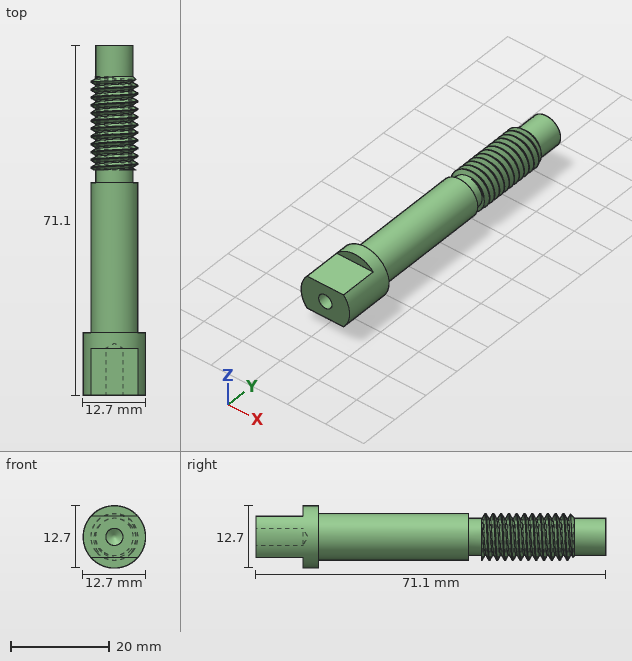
import cadquery as cq
import math

total_length = 71.1
head_length = 12.7
flat_length = 9.5
shank_length = 30.5
neck_length = 2.55
tip_length = 6.3
thread_length = total_length - head_length - shank_length - neck_length - tip_length

head_diameter = 12.7
flat_thickness = 8.4
shank_diameter = 9.5
core_diameter = 7.6

pitch = 1.585
flank_angle = 30.0
crest_width = pitch / 8
root_overlap = 0.1
crest_clearance = 0.35
start_angle = 75.0

hole_diameter = 3.5
hole_depth = 9.5
drill_point_angle = 118.0

core_radius = core_diameter / 2
shank_radius = shank_diameter / 2
hole_radius = hole_diameter / 2
thread_depth = shank_radius - core_radius
neck_start = head_length + shank_length
thread_start = neck_start + neck_length


def cylinder(diameter, start, length):
    """Solid cylinder on the Y axis, running toward +Y from start."""
    face = cq.Workplane("XZ", origin=(0, start, 0))
    return face.circle(diameter / 2).extrude(-length)


def flatted_head():
    """Round head with two parallel flats, leaving a full collar at the shank."""
    head = cylinder(head_diameter, 0, head_length)
    flats = cq.Workplane("XY").box(head_diameter, flat_length, flat_thickness)
    flats = flats.translate((0, flat_length / 2, 0))
    collar = cylinder(head_diameter, flat_length, head_length - flat_length)
    return head.intersect(flats.union(collar))


def thread_ridge():
    """Helical ridge, cut square at the neck and chamfered at the tip end."""
    helix_length = thread_length + 2 * pitch
    inner_radius = core_radius - root_overlap
    crest_half = crest_width / 2
    root_half = crest_half + (thread_depth + root_overlap) * math.tan(math.radians(flank_angle))
    helix = cq.Wire.makeHelix(pitch, helix_length, inner_radius)
    section = cq.Workplane("XZ").polyline([
        (inner_radius, -root_half),
        (shank_radius, -crest_half),
        (shank_radius, crest_half),
        (inner_radius, root_half),
    ]).close()
    ridge = section.sweep(helix, isFrenet=True)
    ridge = ridge.rotate((0, 0, 0), (0, 0, 1), start_angle)
    ridge = ridge.rotate((0, 0, 0), (1, 0, 0), -90)
    ridge = ridge.translate((0, thread_start - pitch, 0))
    envelope = cylinder(shank_diameter + 2 * crest_clearance, thread_start, thread_length)
    envelope = envelope.faces(">Y").chamfer(thread_depth + crest_clearance)
    return ridge.intersect(envelope)


def drilled_hole():
    """Drilled hole with a conical bottom."""
    point_depth = hole_radius / math.tan(math.radians(drill_point_angle / 2))
    profile = cq.Workplane("XY").polyline([
        (0, 0),
        (hole_radius, 0),
        (hole_radius, hole_depth),
        (0, hole_depth + point_depth),
    ]).close()
    return profile.revolve(360, (0, 0, 0), (0, 1, 0))


result = flatted_head()
result = result.union(cylinder(shank_diameter, head_length, shank_length))
result = result.union(cylinder(core_diameter, neck_start, total_length - neck_start))
result = result.union(thread_ridge())
result = result.cut(drilled_hole())